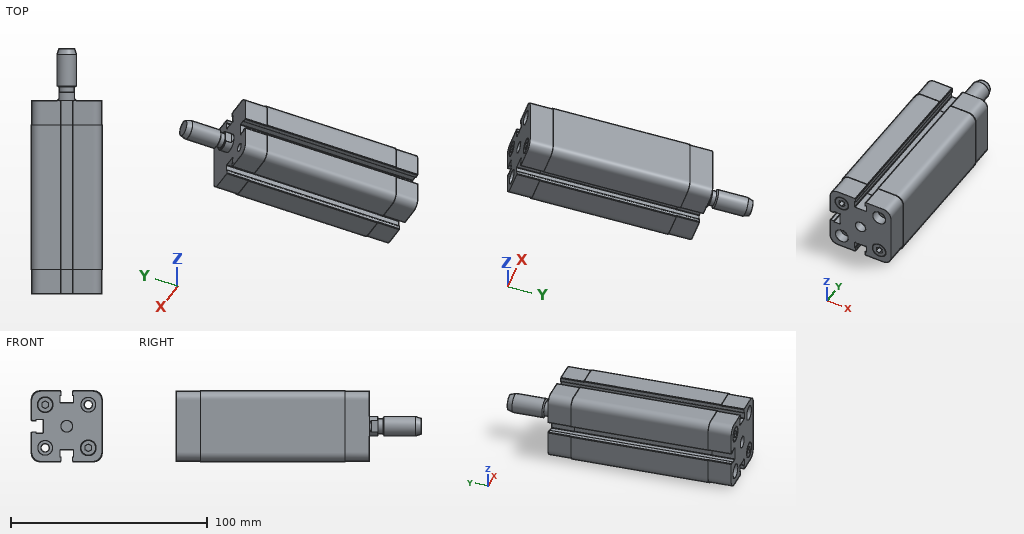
import cadquery as cq

total_length = 124.5
tube_width = 36.1
cap_width = 35.6
corner_radius = 4.5
cap_length = 12.3
rod_length = 26.4

front_y = -total_length / 2
rod_base_y = total_length / 2 - rod_length
housing_length = rod_base_y - front_y
tube_length = housing_length - 2 * cap_length

slot_mouth = 5.6
slot_width = 6.8
tube_slot_floor = 11.8
cap_slot_floor = 12.0
slot_lip = 2.5
mouth_rounding = 0.4
floor_rounding = 0.2

hole_offset = 11.0
through_diameter = 4.1
counterbore_diameter = 7.5
counterbore_depth = 5.0
pilot_diameter = 6.0
pilot_depth = 5.0

screw_seat_diameter = 8.0
screw_head_diameter = 7.5
screw_seat_depth = 3.7
socket_flats = 3.4
socket_depth = 3.1

rod_diameter = 10.0
neck_diameter = 7.8
tip_diameter = 8.1
tip_length = 2.9
collar_length = 4.5
thread_start = 7.5
thread_chamfer = 0.6
collar_chamfer = 0.4
flats_width = 8.0
flats_runout = (rod_diameter - flats_width) / 2


def plane_at(y):
    """Plane across the axis at position y: local x along -X, local y along +Z, extruding toward +Y."""
    return cq.Workplane(cq.Plane(origin=(0, y, 0), xDir=(-1, 0, 0), normal=(0, 1, 0)))


def rounded_block(width, y, length):
    """Square block around the axis with rounded long edges."""
    return plane_at(y).rect(width, width).extrude(length).edges("|Y").fillet(corner_radius)


def cylinder(diameter, y, length, x=0, z=0):
    """Cylinder parallel to the axis, from y toward +Y."""
    return plane_at(y).center(-x, z).circle(diameter / 2).extrude(length)


def t_slot(outer_width, floor, y, length):
    """T-slot in the +Z side of a block, with rounded mouth edges and floor corners."""
    outer = outer_width / 2
    lip_bottom = tube_width / 2 - slot_lip
    half_mouth = slot_mouth / 2
    half_width = slot_width / 2
    return (
        plane_at(y)
        .moveTo(0, outer)
        .lineTo(half_mouth + mouth_rounding, outer)
        .radiusArc((half_mouth, outer - mouth_rounding), mouth_rounding)
        .lineTo(half_mouth, lip_bottom)
        .lineTo(half_width, lip_bottom)
        .lineTo(half_width, floor + floor_rounding)
        .radiusArc((half_width - floor_rounding, floor), -floor_rounding)
        .lineTo(0, floor)
        .mirrorY()
        .extrude(length)
    )


def slotted_block(width, floor, y, length):
    """Rounded block with T-slots in its top, bottom and -X sides."""
    block = rounded_block(width, y, length)
    slot = t_slot(width, floor, y, length)
    for angle in (0, 180, -90):
        block = block.cut(slot.rotate((0, 0, 0), (0, 1, 0), angle))
    return block


def make_housing():
    """Profile tube between two slightly narrower end caps."""
    tube_y = front_y + cap_length
    housing = slotted_block(tube_width, tube_slot_floor, tube_y, tube_length)
    for y in (front_y, tube_y + tube_length):
        housing = housing.union(slotted_block(cap_width, cap_slot_floor, y, cap_length))
    return housing


def cut_mounting_holes(body):
    """Counterbored through holes in two opposite corners."""
    for side in (-1, 1):
        place = (side * hole_offset, side * hole_offset)
        body = body.cut(cylinder(through_diameter, front_y, housing_length, *place))
        body = body.cut(cylinder(counterbore_diameter, front_y, counterbore_depth, *place))
    return body


def add_screws(body):
    """Screw heads with hexagon sockets in the other two corners of the front cap."""
    for side in (-1, 1):
        x = side * hole_offset
        z = -x
        seat = cylinder(screw_seat_diameter, front_y, screw_seat_depth, x, z)
        head = cylinder(screw_head_diameter, front_y, screw_seat_depth, x, z)
        socket = (
            plane_at(front_y)
            .center(-x, z)
            .polygon(6, socket_flats, circumscribed=True)
            .extrude(socket_depth)
        )
        body = body.cut(seat.cut(head)).cut(socket)
    return body


def make_rod():
    """Turned rod with two parallel wrench flats on its collar."""
    thread_y = rod_base_y + thread_start
    collar_y = rod_base_y + collar_length
    tip_y = rod_base_y + rod_length
    rod_radius = rod_diameter / 2
    neck_radius = neck_diameter / 2
    rod = (
        cq.Workplane("XY")
        .moveTo(0, rod_base_y)
        .lineTo(rod_radius, rod_base_y)
        .lineTo(rod_radius, collar_y - collar_chamfer)
        .lineTo(rod_radius - collar_chamfer, collar_y)
        .lineTo(neck_radius, collar_y)
        .lineTo(neck_radius, thread_y - thread_chamfer)
        .lineTo(rod_radius, thread_y)
        .lineTo(rod_radius, tip_y - tip_length)
        .lineTo(tip_diameter / 2, tip_y)
        .lineTo(0, tip_y)
        .close()
        .revolve(360, (0, 0, 0), (0, 1, 0))
    )
    for side in (-1, 1):
        flat = (
            cq.Workplane("XY", origin=(0, 0, -rod_radius))
            .moveTo(side * rod_radius, rod_base_y)
            .lineTo(side * flats_width / 2, rod_base_y + flats_runout)
            .lineTo(side * flats_width / 2, collar_y)
            .lineTo(side * rod_radius, collar_y)
            .close()
            .extrude(rod_diameter)
        )
        rod = rod.cut(flat)
    return rod


housing = make_housing()
housing = cut_mounting_holes(housing)
housing = add_screws(housing)
housing = housing.cut(cylinder(pilot_diameter, front_y, pilot_depth))
result = housing.union(make_rod())